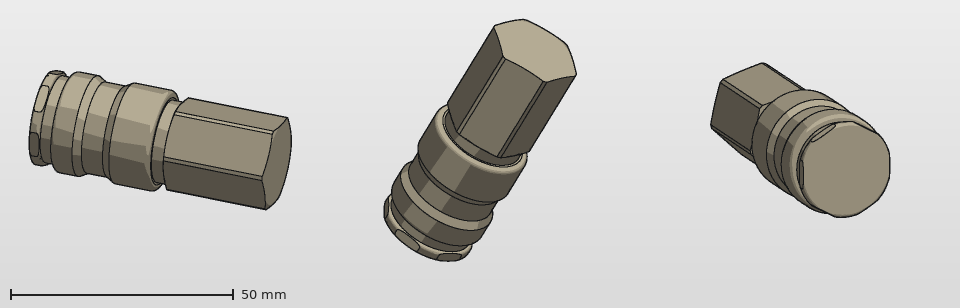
import cadquery as cq
import math


total_length = 55.5
front_hex_length = 2.5
sleeve_start = 5.25
sleeve_end = 28.7
rear_hex_start = 31.5

HEX_SIDES = 6

front_hex_across_flats = 21.0
front_hex_corner_diameter = 22.0
front_hex_fillet = 0.75

front_neck_diameter = 20.0
rear_neck_diameter = 18.95

rear_hex_across_flats = 19.0
rear_hex_corner_diameter = 21.4
rear_hex_end_diameter = rear_hex_across_flats
rear_hex_chamfer_angle = 15.0
rear_hex_turn = 13.6

sleeve_diameter = 23.15
grip_diameter = 21.0
grip_start = 12.45
grip_end = 17.45
grip_slope_angle = 30.0
sleeve_end_fillet = 1.0


def cylinder(diameter, start, end):
    """Round bar along X between two stations."""
    return cq.Workplane("YZ", origin=(start, 0, 0)).circle(diameter / 2).extrude(end - start)


def hexagon(across_flats, start, end, turn):
    """Hexagonal bar along X; at zero turn two of its flats face -Y and +Y."""
    half_sector = 180.0 / HEX_SIDES
    across_corners = across_flats / math.cos(math.radians(half_sector))
    bar = cq.Workplane("YZ", origin=(start, 0, 0)).polygon(HEX_SIDES, across_corners).extrude(end - start)
    return bar.rotate((0, 0, 0), (1, 0, 0), half_sector + turn)


def front_hex():
    """Hexagon whose corners are turned down to a rim with rounded edges."""
    rim = cylinder(front_hex_corner_diameter, 0, front_hex_length).edges().fillet(front_hex_fillet)
    return rim.intersect(hexagon(front_hex_across_flats, 0, front_hex_length, 0))


def rear_hex():
    """Turned hexagon with trimmed corners and a conical chamfer at both ends."""
    chamfer_depth = (rear_hex_corner_diameter - rear_hex_end_diameter) / 2
    chamfer_length = chamfer_depth * math.tan(math.radians(rear_hex_chamfer_angle))
    corner_radius = rear_hex_corner_diameter / 2
    end_radius = rear_hex_end_diameter / 2
    envelope = (
        cq.Workplane("XY")
        .moveTo(rear_hex_start, 0)
        .lineTo(rear_hex_start, end_radius)
        .lineTo(rear_hex_start + chamfer_length, corner_radius)
        .lineTo(total_length - chamfer_length, corner_radius)
        .lineTo(total_length, end_radius)
        .lineTo(total_length, 0)
        .close()
        .revolve(360, (0, 0, 0), (1, 0, 0))
    )
    return envelope.intersect(
        hexagon(rear_hex_across_flats, rear_hex_start, total_length, rear_hex_turn)
    )


def make_plug_body():
    """Front hexagon, the neck that carries the sleeve, the rear neck and the rear hexagon."""
    front_neck = cylinder(front_neck_diameter, front_hex_length, sleeve_end)
    rear_neck = cylinder(rear_neck_diameter, sleeve_end, rear_hex_start)
    return front_hex().union(front_neck).union(rear_neck).union(rear_hex())


def make_sleeve():
    """Sleeve with a sloped grip groove, rounded ends and a bore that fits the front neck."""
    outer_radius = sleeve_diameter / 2
    grip_radius = grip_diameter / 2
    bore_radius = front_neck_diameter / 2
    slope_length = (outer_radius - grip_radius) / math.tan(math.radians(grip_slope_angle))
    ring = (
        cq.Workplane("XY")
        .moveTo(sleeve_start, bore_radius)
        .lineTo(sleeve_start, outer_radius - sleeve_end_fillet)
        .radiusArc((sleeve_start + sleeve_end_fillet, outer_radius), sleeve_end_fillet)
        .lineTo(grip_start - slope_length, outer_radius)
        .lineTo(grip_start, grip_radius)
        .lineTo(grip_end, grip_radius)
        .lineTo(grip_end + slope_length, outer_radius)
        .lineTo(sleeve_end - sleeve_end_fillet, outer_radius)
        .radiusArc((sleeve_end, outer_radius - sleeve_end_fillet), sleeve_end_fillet)
        .lineTo(sleeve_end, bore_radius)
        .close()
    )
    return ring.revolve(360, (0, 0, 0), (1, 0, 0))


plug_body = make_plug_body()
sleeve = make_sleeve()

result = cq.Compound.makeCompound([plug_body.val(), sleeve.val()])